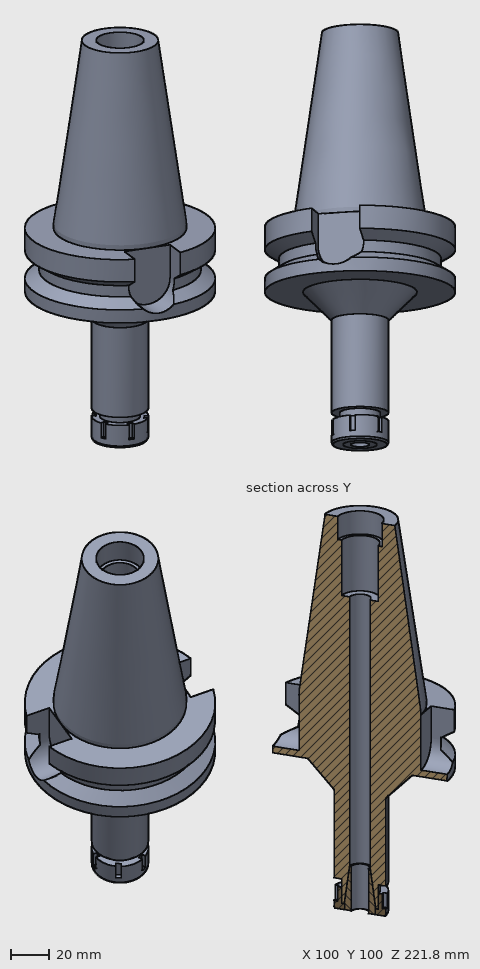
import cadquery as cq
import math

total_height = 221.8
gauge_z = 120.0
flange_top_z = 117.3
groove_upper_rim_z = 105.0
groove_upper_floor_z = 100.3
groove_lower_floor_z = 94.0
groove_lower_rim_z = 89.4
flange_bottom_z = 82.0
shank_top_z = 67.0
shank_bottom_z = 17.0
nut_top_z = 12.6

taper_slope = 7 / 48
gauge_radius = 69.9 / 2
taper_top_radius = gauge_radius - taper_slope * (total_height - gauge_z)
flange_radius = 100.0 / 2
groove_radius = 85.2 / 2
cone_top_radius = 59.9 / 2
shank_radius = 30.0 / 2
nose_radius = 21.3 / 2
nose_end_z = 3.3

drive_slot_width = 26.2
drive_slot_floor_x = 35.0
drive_slot_end_z = 86.0

counterbore_radius = 25.0 / 2
counterbore_depth = 13.0
thread_bore_radius = 20.8 / 2
thread_bore_depth = 44.4
through_hole_radius = 11.5 / 2

collet_half_angle = 8.0
collet_mouth_radius = 17.7 / 2
collet_bore_radius = 9.8 / 2
collet_taper_rise = collet_mouth_radius - through_hole_radius
collet_taper_length = collet_taper_rise / math.tan(math.radians(collet_half_angle))
collet_top_z = nose_end_z + collet_taper_length

nut_radius = shank_radius
nut_chamfer_height = 1.0
nut_chamfer_width = 0.7
nut_slot_count = 6
nut_slot_width = 2.9
nut_slot_depth = 2.2
nut_slot_end_z = 4.5


def revolve_profile(points):
    """Turn a closed outline of (radius, z) points about the Z axis."""
    return cq.Workplane("XZ").polyline(points).close().revolve(360, (0, 0), (0, 1))


def make_holder_blank():
    """Turn the taper, grooved flange, cone, shank and nose in one outline."""
    return revolve_profile([
        (0, total_height),
        (taper_top_radius, total_height),
        (gauge_radius, gauge_z),
        (gauge_radius, flange_top_z),
        (flange_radius, flange_top_z),
        (flange_radius, groove_upper_rim_z),
        (groove_radius, groove_upper_floor_z),
        (groove_radius, groove_lower_floor_z),
        (flange_radius, groove_lower_rim_z),
        (flange_radius, flange_bottom_z),
        (cone_top_radius, flange_bottom_z),
        (shank_radius, shank_top_z),
        (shank_radius, shank_bottom_z),
        (nose_radius, shank_bottom_z),
        (nose_radius, nose_end_z),
        (0, nose_end_z),
    ])


def make_holder_bore():
    """Stepped bore from the top, with a conical seat for the collet at the nose."""
    counterbore_z = total_height - counterbore_depth
    thread_bore_z = total_height - thread_bore_depth
    return revolve_profile([
        (0, total_height),
        (counterbore_radius, total_height),
        (counterbore_radius, counterbore_z),
        (thread_bore_radius, counterbore_z),
        (thread_bore_radius, thread_bore_z),
        (through_hole_radius, thread_bore_z),
        (through_hole_radius, collet_top_z),
        (collet_mouth_radius, nose_end_z),
        (0, nose_end_z),
    ])


def make_drive_slot(side):
    """Round-ended slot cut down through the flange; side is +1 or -1 along X."""
    half_width = drive_slot_width / 2
    round_centre_z = drive_slot_end_z + half_width
    return (
        cq.Workplane("YZ")
        .workplane(offset=side * drive_slot_floor_x)
        .moveTo(-half_width, flange_top_z)
        .lineTo(-half_width, round_centre_z)
        .threePointArc((0, drive_slot_end_z), (half_width, round_centre_z))
        .lineTo(half_width, flange_top_z)
        .close()
        .extrude(side * (flange_radius - drive_slot_floor_x))
    )


def make_holder():
    holder = make_holder_blank().cut(make_holder_bore())
    for side in (-1, 1):
        holder = holder.cut(make_drive_slot(side))
    return holder


def make_collet():
    """Tapered sleeve seated in the nose, with a cylindrical head inside the nut."""
    return revolve_profile([
        (collet_bore_radius, collet_top_z),
        (through_hole_radius, collet_top_z),
        (collet_mouth_radius, nose_end_z),
        (collet_mouth_radius, 0),
        (collet_bore_radius, 0),
    ])


def make_nut_slot(angle):
    """Spanner slot in the rim of the nut, open at the top."""
    return (
        cq.Workplane("XY")
        .workplane(offset=nut_slot_end_z)
        .center(nut_radius, 0)
        .rect(2 * nut_slot_depth, nut_slot_width)
        .extrude(nut_top_z - nut_slot_end_z)
        .rotate((0, 0, 0), (0, 0, 1), angle)
    )


def make_nut():
    """Cap nut around the nose and the collet head, with a chamfered lower rim."""
    nut = revolve_profile([
        (nose_radius, nut_top_z),
        (nut_radius, nut_top_z),
        (nut_radius, nut_chamfer_height),
        (nut_radius - nut_chamfer_width, 0),
        (collet_mouth_radius, 0),
        (collet_mouth_radius, nose_end_z),
        (nose_radius, nose_end_z),
    ])
    for index in range(nut_slot_count):
        nut = nut.cut(make_nut_slot(index * 360 / nut_slot_count))
    return nut


holder = make_holder()
collet = make_collet()
nut = make_nut()

result = cq.Compound.makeCompound([holder.val(), collet.val(), nut.val()])